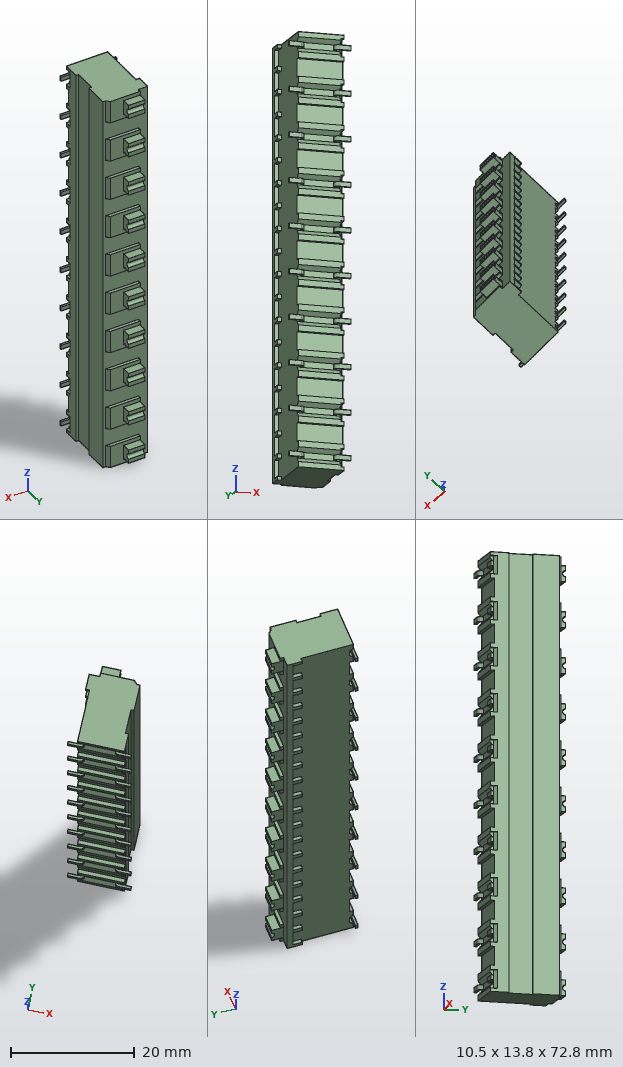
import cadquery as cq
import math

length = 72.8
terminal_count = 10
end_margin = 2.1
pitch = (length - 2 * end_margin) / (terminal_count - 1)
terminal_heights = [end_margin + i * pitch for i in range(terminal_count)]

body_left = -3.65
body_right = 4.15
floor_y = 0.9
foot_y = 0.2
shoulder_y = 11.8

channel_depth = 0.5
channel_bottom = 3.3
channel_top = 7.35

rib_thickness = 0.65
rib_bottom = 10.8
finger_bottom = 9.2
finger_inner = 1.5
finger_outer = 2.25

foot_half_width = 2.25
groove_half_mouth = 1.25
groove_half_floor = 0.5

side_notch_depth = 0.5
side_notch_half_width = 1.5

block_half_width = end_margin
block_left = -2.55
block_right = 3.65
block_top = 12.4
block_chamfer = block_top - shoulder_y

tab_width = 3.05
tab_half_height = 1.3
tab_top = 13.8
tab_clearance = 0.1
tab_notch_radius = 0.5

pin_tip = 5.25
pin_thickness = 0.45
pin_height = 0.8
pin_leg_inner = 2.55
pin_outer_radius = 0.65
pin_inner_radius = pin_outer_radius - pin_thickness
pin_embed = 0.7


def box(x_range, y_range, z_range):
    """Box between the given limits."""
    corner = (x_range[0], y_range[0], z_range[0])
    size = (x_range[1] - x_range[0], y_range[1] - y_range[0], z_range[1] - z_range[0])
    return cq.Workplane("XY").box(*size, centered=False).translate(corner)


def centred_on(height, half_width):
    """Z limits of a feature centred on a terminal, cut off at the ends of the body."""
    return (max(0, height - half_width), min(length, height + half_width))


def make_body():
    body = box((body_left, body_right), (floor_y, shoulder_y), (0, length))
    rib = box((body_left - rib_thickness, body_left), (rib_bottom, shoulder_y), (0, length))
    return body.union(rib)


def make_fingers(height):
    x_range = (body_left - rib_thickness, body_left)
    y_range = (finger_bottom, rib_bottom)
    pair = box(x_range, y_range, centred_on(height, finger_outer))
    gap = box(x_range, y_range, centred_on(height, finger_inner))
    return pair.cut(gap)


def make_feet(height):
    feet = box((body_left, body_right), (foot_y, floor_y), centred_on(height, foot_half_width))
    groove = (
        cq.Workplane("YZ", origin=(body_left, 0, height))
        .moveTo(foot_y, -groove_half_mouth)
        .lineTo(floor_y, -groove_half_floor)
        .lineTo(floor_y, groove_half_floor)
        .lineTo(foot_y, groove_half_mouth)
        .close()
        .extrude(body_right - body_left)
    )
    return feet.cut(groove)


def make_side_notch(height):
    """Cutter that opens the groove through the right edge and runs out on a sloping face."""
    return (
        cq.Workplane("XY", origin=(0, 0, height))
        .moveTo(body_right - side_notch_depth, foot_y)
        .lineTo(body_right, foot_y)
        .lineTo(body_right, floor_y + side_notch_depth)
        .lineTo(body_right - side_notch_depth, floor_y)
        .close()
        .extrude(side_notch_half_width, both=True)
    )


def make_block(height):
    """Raised block with a socket, open on the left, that leaves clearance around the tab."""
    z_bottom, z_top = centred_on(height, block_half_width)
    block = (
        cq.Workplane("XY", origin=(0, 0, z_bottom))
        .moveTo(block_left, shoulder_y)
        .lineTo(block_right, shoulder_y)
        .lineTo(block_right - block_chamfer, block_top)
        .lineTo(block_left, block_top)
        .close()
        .extrude(z_top - z_bottom)
    )
    socket = box(
        (block_left, block_left + tab_width + tab_clearance),
        (shoulder_y, block_top),
        centred_on(height, tab_half_height + tab_clearance),
    )
    return block.cut(socket)


def make_tab(height):
    x_range = (block_left, block_left + tab_width)
    tab = box(x_range, (shoulder_y, tab_top), centred_on(height, tab_half_height))
    notch = (
        cq.Workplane("YZ", origin=(block_left, tab_top, height))
        .circle(tab_notch_radius)
        .extrude(tab_width)
    )
    return tab.cut(notch)


def make_pin(height):
    """Right-hand pin: a leg leaving the body that bends outward into a flat foot."""
    leg_outer = pin_leg_inner + pin_thickness
    bend_x = pin_leg_inner + pin_outer_radius
    bend_y = pin_outer_radius
    diagonal = math.sqrt(0.5)
    outer_middle = (bend_x - pin_outer_radius * diagonal, bend_y - pin_outer_radius * diagonal)
    inner_middle = (bend_x - pin_inner_radius * diagonal, bend_y - pin_inner_radius * diagonal)
    return (
        cq.Workplane("XY", origin=(0, 0, height))
        .moveTo(pin_tip, 0)
        .lineTo(bend_x, 0)
        .threePointArc(outer_middle, (pin_leg_inner, bend_y))
        .lineTo(pin_leg_inner, floor_y + pin_embed)
        .lineTo(leg_outer, floor_y + pin_embed)
        .lineTo(leg_outer, bend_y)
        .threePointArc(inner_middle, (bend_x, pin_thickness))
        .lineTo(pin_tip, pin_thickness)
        .close()
        .extrude(pin_height / 2, both=True)
    )


result = make_body()
for height in terminal_heights:
    result = result.union(make_fingers(height))
    result = result.union(make_feet(height))
    result = result.union(make_block(height))
    result = result.union(make_tab(height))
    result = result.cut(make_side_notch(height))

channel = box((body_right - channel_depth, body_right), (channel_bottom, channel_top), (0, length))
result = result.cut(channel)

for height in terminal_heights:
    pin = make_pin(height)
    result = result.union(pin).union(pin.mirror("YZ"))